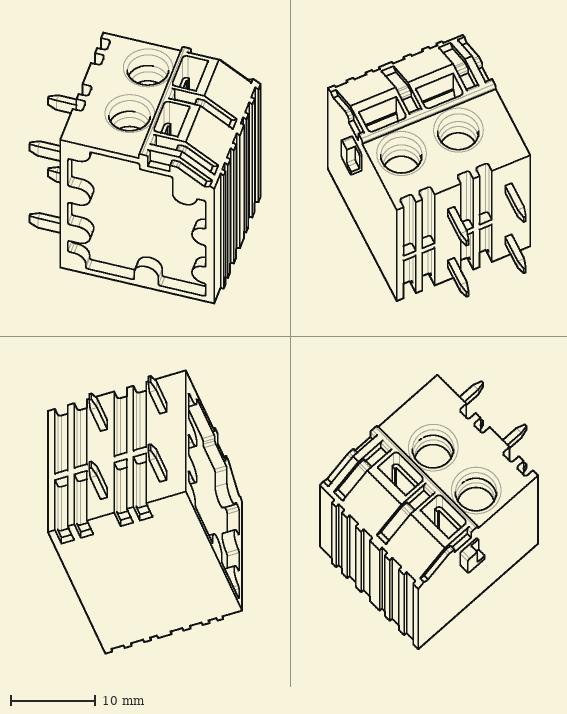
import cadquery as cq
import math


body_length = 19.15
body_width = 17.5
overall_height = 24.25
roof_height = 23.44
slope_start = 14.58
slope_angle = math.radians(35.3)
rail_start = 9.76
rail_round = 0.35
pitch = 7.5
poles = 2
overcut = 1.0

pin_length = 4.65
pin_taper_length = 1.12
pin_width = 0.86
pin_height = 1.75
pin_tip_width = 0.3
pin_tip_height = 1.2
pin_root = 0.5
first_pin_y = 2.885
pin_levels = (4.2, 17.38)

pocket_depth = 1.5
pocket_left = 0.98
pocket_right = 18.08
pocket_bottom = 0.95
pocket_top = 22.48
pocket_step_x = 9.87
pocket_step_z = 21.44
pocket_step_end = 13.97
pocket_shoulder_z = 18.45
lobe_radius = 1.5
minus_x_lobe_x = 2.23
minus_x_lobe_levels = (6.78, 13.8)
plus_x_lobe_x = 17.88
plus_x_lobe_levels = (4.8, 11.78)
bottom_lobe_x = 10.71
bottom_lobe_z = 2.35
lower_corner_lobe = (1.7, 1.75)
upper_corner_lobe = (2.2, 21.8)
pocket_corner_radius = 0.3

slot_start = 10.92
slot_floor = 22.35
slot_step = 13.6
slot_bend = 14.55
slot_end_floor = 21.04
slot_flat_length = 0.05
slot_end_radius = 0.75
slot_corner_radius = 0.3
slot_bend_radius = 0.5
slot_bands = ((0, 0.9), (1.85, 3.38), (9.3, 10.9), (16.83, body_width))

first_contact_y = 6.36
contact_pitch = 7.45

screw_x = 6.68
screw_diameter = 4.9
screw_seat_diameter = 4.4
screw_mouth_radius = 0.5
screw_straight_depth = 2.5
screw_cone_depth = 0.8
screw_depth = 5.0

window_left = 10.36
window_right = 13.42
window_width = 4.9
window_corner_radius = 0.5
window_depth = 4.0
funnel_left = 11.05
funnel_right = 13.24
funnel_bend_x = 11.87
funnel_bend_depth = 6.0
funnel_end_x = 11.3
funnel_depth = 7.8
keyway_left = 10.83
keyway_width = 3.95
keyway_depth = 10.0

grooves_per_pole = 2
groove_width = 1.6
groove_depth = 1.21
groove_corner_radius = 0.33
first_groove_y = 5.84
groove_spacing = 2.45
groove_bridge_bottom = 9.65
groove_bridge_top = 10.92
groove_relief_height = 1.18
groove_relief_depth = 2.2

rib_height = 0.4
rib_bands = (
    (2.54, 3.26),
    (4.27, 5.17),
    (6.65, 7.6),
    (9.1, 10.8),
    (11.7, 12.57),
    (14.15, 15.05),
    (16.6, body_width),
)

latch_start = 9.95
latch_end = 12.72
latch_bottom = 15.98
latch_top = 20.56
latch_reach = 1.35
latch_round = 0.33
latch_recess_end = 11.17
latch_recess_floor = 17.0
latch_web = 0.26


def box(x_range, y_range, z_range):
    """Axis-aligned box between the given limits."""
    size = [high - low for low, high in (x_range, y_range, z_range)]
    corner = (x_range[0], y_range[0], z_range[0])
    return cq.Workplane("XY").box(*size, centered=False).translate(corner)


def side_prism(points, y_range):
    """Extrude an XZ outline between two Y positions."""
    plane = cq.Workplane("XZ", origin=(0, y_range[0], 0))
    return plane.polyline(points).close().extrude(y_range[0] - y_range[1])


def round_edge_near(solid, point, radius):
    """Fillet the edge whose middle is nearest to the point."""
    return solid.edges(cq.NearestToPointSelector(point)).fillet(radius)


def slope_z(x):
    """Height of the sloped face at a given X."""
    return overall_height - (x - slope_start) * math.tan(slope_angle)


def make_body():
    """Housing with its raised rail, sloped face and the ribs on the +X face."""
    outline = [
        (0, 0),
        (body_length, 0),
        (body_length, slope_z(body_length)),
        (slope_start, overall_height),
        (rail_start, overall_height),
        (rail_start, roof_height),
        (0, roof_height),
    ]
    body = side_prism(outline, (0, body_width))
    body = round_edge_near(body, (rail_start, body_width / 2, overall_height), rail_round)
    rib_end = body_length + rib_height
    for band in rib_bands:
        points = [
            (body_length - overcut, 0),
            (rib_end, 0),
            (rib_end, slope_z(rib_end)),
            (body_length - overcut, slope_z(body_length - overcut)),
        ]
        body = body.union(side_prism(points, band))
    return body


def make_pocket():
    """Shallow cavity in the -Y face, scalloped by round-ended lobes."""
    pocket_range = (-overcut, pocket_depth)
    outline = [
        (pocket_left, pocket_bottom),
        (pocket_right, pocket_bottom),
        (pocket_right, pocket_shoulder_z),
        (pocket_step_end, pocket_shoulder_z),
        (pocket_step_end, pocket_step_z),
        (pocket_step_x, pocket_step_z),
        (pocket_step_x, pocket_top),
        (pocket_left, pocket_top),
    ]
    pocket = side_prism(outline, pocket_range)

    def remove_lobe(solid, x, z, x_reach, z_reach):
        """Leave a round-ended lobe at (x, z) joined to the wall at x_reach and z_reach."""
        plane = cq.Workplane("XZ", origin=(0, -overcut, 0))
        lobe = plane.center(x, z).circle(lobe_radius).extrude(-(pocket_depth + overcut))
        x_low, x_high = x_reach
        z_low, z_high = z_reach
        neck = box((x + x_low, x + x_high), pocket_range, (z + z_low, z + z_high))
        return solid.cut(lobe).cut(neck)

    r = lobe_radius
    far = r + overcut
    for z in minus_x_lobe_levels:
        pocket = remove_lobe(pocket, minus_x_lobe_x, z, (-far, 0), (-r, r))
    for z in plus_x_lobe_levels:
        pocket = remove_lobe(pocket, plus_x_lobe_x, z, (0, far), (-r, r))
    pocket = remove_lobe(pocket, bottom_lobe_x, bottom_lobe_z, (-r, r), (-far, 0))
    shoulder_lobe_x = pocket_step_end + r
    pocket = remove_lobe(pocket, shoulder_lobe_x, pocket_shoulder_z, (-r, r), (0, far))

    for (x, z), side in ((lower_corner_lobe, -1), (upper_corner_lobe, 1)):
        tall = sorted((0, side * far))
        flat = sorted((-side * r, side * far))
        pocket = remove_lobe(pocket, x, z, (-far, r), tall)
        pocket = remove_lobe(pocket, x, z, (-far, 0), flat)
    return pocket.edges("|Y").fillet(pocket_corner_radius)


def make_slot(band):
    """Slot behind the rail that carries on down the slope, over one Y band."""
    above = overall_height + overcut
    bend_to_end = (roof_height - slot_end_floor) / math.tan(slope_angle)
    ramp_end = slot_bend + bend_to_end
    flat_end = ramp_end + slot_flat_length + slot_end_radius
    points = [
        (slot_start, slot_floor),
        (slot_step, slot_floor),
        (slot_step, roof_height),
        (slot_bend, roof_height),
        (ramp_end, slot_end_floor),
        (flat_end, slot_end_floor),
        (flat_end, above),
        (slot_start, above),
    ]
    slot = side_prism(points, band)
    middle = sum(band) / 2
    slot = round_edge_near(slot, (slot_step, middle, roof_height), slot_corner_radius)
    slot = round_edge_near(slot, (slot_bend, middle, roof_height), slot_bend_radius)
    slot = round_edge_near(slot, (flat_end, middle, slot_end_floor), slot_end_radius)
    r = slot_corner_radius
    crest = box((slot_start - r, slot_start), band, (overall_height - r, above))
    crest_axis = cq.Workplane("XZ", origin=(0, band[0], 0)).center(slot_start - r, overall_height - r)
    crest = crest.cut(crest_axis.circle(r).extrude(band[0] - band[1]))
    return slot.union(crest)


def make_screw_hole(y):
    """Stepped hole with a rounded mouth."""
    r = screw_diameter / 2
    seat = screw_seat_diameter / 2
    mouth = r + screw_mouth_radius
    arc_drop = screw_mouth_radius * (1 - math.sqrt(0.5))
    cone_top = roof_height - screw_straight_depth
    profile = (
        cq.Workplane("XZ")
        .moveTo(0, roof_height)
        .lineTo(mouth, roof_height)
        .threePointArc((r + arc_drop, roof_height - arc_drop), (r, roof_height - screw_mouth_radius))
        .lineTo(r, cone_top)
        .lineTo(seat, cone_top - screw_cone_depth)
        .lineTo(seat, roof_height - screw_depth)
        .lineTo(0, roof_height - screw_depth)
        .close()
    )
    return profile.revolve(360, (0, 0, 0), (0, 1, 0)).translate((screw_x, y, 0))


def make_wire_opening(y):
    """Rectangular window over a funnel whose +X wall slants towards -X."""
    half = window_width / 2
    ledge = overall_height - window_depth
    window = box((window_left, window_right), (y - half, y + half), (ledge, overall_height + overcut))
    window = window.edges("|Z and <X").fillet(window_corner_radius)
    guide_wall = [
        (funnel_right, ledge),
        (funnel_bend_x, ledge - funnel_bend_depth),
        (funnel_end_x, ledge - funnel_depth),
    ]
    funnel_outline = guide_wall + [(funnel_left, ledge - funnel_depth), (funnel_left, ledge)]
    funnel = side_prism(funnel_outline, (y - half, y + half))
    key_half = keyway_width / 2
    keyway_outline = guide_wall + [(keyway_left, ledge - keyway_depth), (keyway_left, ledge)]
    keyway = side_prism(keyway_outline, (y - key_half, y + key_half))
    return window.union(funnel).union(keyway)


def make_groove(y):
    """Vertical groove, interrupted by a bridge and deepened at the bottom."""
    y_range = (y - groove_width / 2, y + groove_width / 2)
    x_range = (-overcut, groove_depth)
    spans = (
        (-overcut, groove_bridge_bottom),
        (groove_bridge_top, roof_height + overcut),
    )
    groove = box((-overcut, groove_relief_depth), y_range, (-overcut, groove_relief_height))
    for span in spans:
        groove = groove.union(box(x_range, y_range, span).edges("|Z and >X").fillet(groove_corner_radius))
    return groove


def make_pin(y, z):
    """Flat solder pin with a tapered tip."""
    shank_end = pin_taper_length - pin_length
    shank = box(
        (shank_end, pin_root),
        (y - pin_width / 2, y + pin_width / 2),
        (z - pin_height / 2, z + pin_height / 2),
    )
    tip = (
        cq.Workplane("YZ", origin=(shank_end, y, z))
        .rect(pin_width, pin_height)
        .workplane(offset=-pin_taper_length)
        .rect(pin_tip_width, pin_tip_height)
        .loft(ruled=True)
    )
    return shank.union(tip)


def make_latch():
    """Rounded block with a recess in its -X upper corner."""
    outer_y = body_width + latch_reach
    latch = box((latch_start, latch_end), (body_width - overcut, outer_y), (latch_bottom, latch_top))
    latch = latch.edges("|Y").fillet(latch_round)
    recess = box(
        (latch_start - overcut, latch_recess_end),
        (body_width + latch_web, outer_y + overcut),
        (latch_recess_floor, latch_top + overcut),
    )
    recess = recess.edges("|Y and >X and <Z").fillet(latch_round)
    return latch.cut(recess)


result = make_body().cut(make_pocket())
for slot_band in slot_bands:
    result = result.cut(make_slot(slot_band))
for pole in range(poles):
    contact_y = first_contact_y + pole * contact_pitch
    result = result.cut(make_screw_hole(contact_y))
    result = result.cut(make_wire_opening(contact_y))
    for groove_index in range(grooves_per_pole):
        result = result.cut(make_groove(first_groove_y + pole * pitch + groove_index * groove_spacing))
    for level in pin_levels:
        result = result.union(make_pin(first_pin_y + pole * pitch, level))
result = result.union(make_latch())